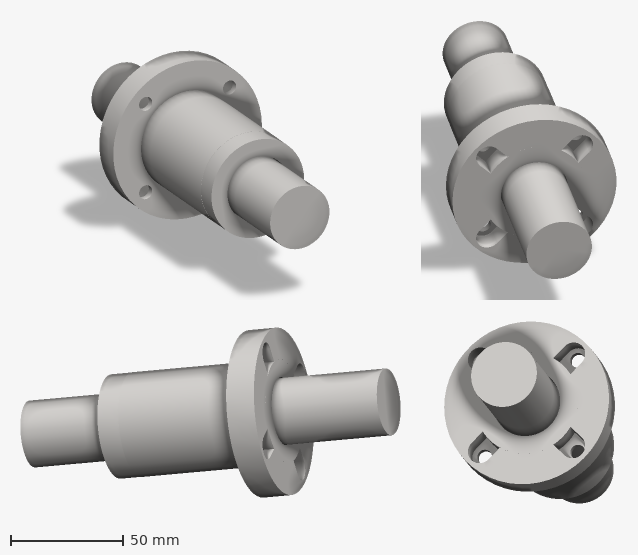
import cadquery as cq

total_length = 170.0
front_shaft_length = 50.0
rear_shaft_length = 40.0
flange_thickness = 13.3
collar_thickness = 10.0
shaft_start = -total_length / 2
flange_face = shaft_start + front_shaft_length
rear_face = shaft_start + total_length - rear_shaft_length
barrel_end = rear_face - collar_thickness

shaft_diameter = 30.0
bore_diameter = 30.6
collar_diameter = 46.8
barrel_diameter = 47.0
flange_diameter = 75.0

full_turn = 360.0
hole_count = 4
first_hole_angle = 45.0
hole_diameter = 6.6
hole_circle_radius = 30.0
head_recess_width = 11.0
head_recess_depth = collar_thickness


def cylinder(start, end, diameter):
    """Solid cylinder on the X axis between two X positions."""
    return cq.Workplane("YZ", origin=(start, 0, 0)).circle(diameter / 2).extrude(end - start)


def make_shaft():
    return cylinder(shaft_start, shaft_start + total_length, shaft_diameter)


def make_collar(start):
    """Plain ring that guides the shaft at one end of the housing."""
    end = start + collar_thickness
    return cylinder(start, end, collar_diameter).cut(cylinder(start, end, bore_diameter))


def mounting_hole(angle):
    """Through hole with a head recess that opens inward into the collar seat."""
    hole = (
        cq.Workplane("YZ", origin=(flange_face, 0, 0))
        .center(hole_circle_radius, 0)
        .circle(hole_diameter / 2)
        .extrude(flange_thickness)
    )
    half_width = head_recess_width / 2
    recess = (
        cq.Workplane("YZ", origin=(flange_face, 0, 0))
        .moveTo(0, -half_width)
        .lineTo(hole_circle_radius, -half_width)
        .threePointArc((hole_circle_radius + half_width, 0), (hole_circle_radius, half_width))
        .lineTo(0, half_width)
        .close()
        .extrude(head_recess_depth)
    )
    return hole.union(recess).rotate((0, 0, 0), (1, 0, 0), angle)


def make_housing():
    flange = cylinder(flange_face, flange_face + flange_thickness, flange_diameter)
    barrel = cylinder(flange_face, barrel_end, barrel_diameter)
    bore = cylinder(flange_face, barrel_end, bore_diameter)
    collar_seat = cylinder(flange_face, flange_face + collar_thickness, collar_diameter)
    housing = flange.union(barrel).cut(bore).cut(collar_seat)
    for index in range(hole_count):
        angle = first_hole_angle + index * full_turn / hole_count
        housing = housing.cut(mounting_hole(angle))
    return housing


shaft = make_shaft()
housing = make_housing()
collars = [make_collar(start) for start in (flange_face, barrel_end)]

result = cq.Compound.makeCompound(
    [shaft.val(), housing.val(), *[collar.val() for collar in collars]]
)